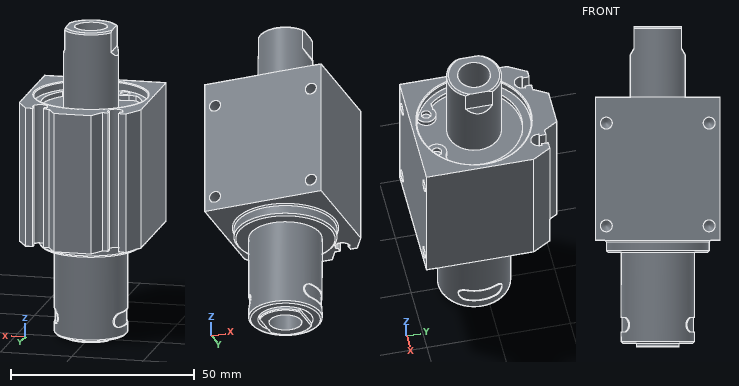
import cadquery as cq
import math

ANGLE_60 = math.tan(math.radians(60))

BLOCK_WIDTH = 34.0
BLOCK_HEIGHT = 39.0
FRONT_Y = -BLOCK_WIDTH / 2
BACK_Y = 22.0
SHELF_Y = 18.05
CORNER_RUN = 3.0
RAISED_BACK_WIDTH = 10.4

SLOT_X = 10.55
SLOT_NECK_WIDTH = 3.0
SLOT_NECK_DEPTH = 1.8
SLOT_WIDTH = 4.0
SLOT_DEPTH = 4.45

MOUNT_SPACING = 28.0
MOUNT_BOTTOM_Z = 3.9
MOUNT_DIAMETER = 3.2
MOUNT_DEPTH = 7.85
DRILL_POINT_ANGLE = 118

RECESS_RADIUS = 15.6
RECESS_DEPTH = 3.7
RECESS_CHAMFER = 0.3
RING_TOP_DEPTH = 2.3
RING_OPENING_RADIUS = 13.8
RING_OPENING_Y = -0.5
RING_END_Y = -9.7
LUG_X = 6.8
LUG_Y = -11.9
LUG_RADIUS = 2.7
LUG_HOLE_DIAMETER = 2.6

COLLAR_RADIUS = 14.0
COLLAR_LENGTH = 3.3
COLLAR_LIP = 0.4
COLLAR_LIP_HEIGHT = 0.4
EDGE_CHAMFER = 0.5
TUBE_RADIUS = 10.0
TUBE_END_Z = -28.1

POCKET_LENGTH = 12.2
POCKET_HEIGHT = 4.0
POCKET_DEPTH = 0.3
POCKET_Z = -23.0

SHAFT_DIAMETER = 15.0
SHAFT_BORE_DIAMETER = 8.9
SHAFT_LENGTH = 87.2
SHAFT_PROTRUSION = 1.0
SHAFT_BOTTOM_Z = TUBE_END_Z - SHAFT_PROTRUSION
SHAFT_TOP_Z = SHAFT_BOTTOM_Z + SHAFT_LENGTH
TOP_CHAMFER_WIDTH = 0.5
TOP_CHAMFER_HEIGHT = 0.4
BOTTOM_CHAMFER = 0.3
TOP_FLATS_WIDTH = 13.0
TOP_FLATS_LENGTH = 5.9
BOTTOM_FLATS_WIDTH = 11.7


def cylinder(radius, bottom_z, top_z):
    return cq.Workplane("XY").workplane(offset=bottom_z).circle(radius).extrude(top_z - bottom_z)


def slab(min_corner, max_corner):
    sizes = [high - low for low, high in zip(min_corner, max_corner)]
    return cq.Workplane("XY").box(*sizes, centered=False).translate(min_corner)


def make_block():
    half_width = BLOCK_WIDTH / 2
    half_back = RAISED_BACK_WIDTH / 2
    half_back_foot = half_back + (BACK_Y - SHELF_Y) / ANGLE_60
    right_side = [
        (half_width, FRONT_Y),
        (half_width, SHELF_Y - CORNER_RUN * ANGLE_60),
        (half_width - CORNER_RUN, SHELF_Y),
        (half_back_foot, SHELF_Y),
        (half_back, BACK_Y),
    ]
    left_side = [(-x, y) for x, y in reversed(right_side)]
    return cq.Workplane("XY").polyline(right_side + left_side).close().extrude(BLOCK_HEIGHT)


def make_sensor_slot(x):
    """Undercut slot with a round bottom, open to the shelf along the full block height."""
    half_neck = SLOT_NECK_WIDTH / 2
    radius = SLOT_WIDTH / 2
    shoulder_y = SHELF_Y - SLOT_NECK_DEPTH
    bottom_y = SHELF_Y - SLOT_DEPTH
    return (
        cq.Workplane("XY")
        .moveTo(x - half_neck, SHELF_Y)
        .lineTo(x - half_neck, shoulder_y)
        .lineTo(x - radius, shoulder_y)
        .lineTo(x - radius, bottom_y + radius)
        .threePointArc((x, bottom_y), (x + radius, bottom_y + radius))
        .lineTo(x + radius, shoulder_y)
        .lineTo(x + half_neck, shoulder_y)
        .lineTo(x + half_neck, SHELF_Y)
        .close()
        .extrude(BLOCK_HEIGHT)
    )


def make_mount_hole(x, z):
    """Drilled hole with a conical end, pointing into the block from the front face."""
    radius = MOUNT_DIAMETER / 2
    point_depth = radius / math.tan(math.radians(DRILL_POINT_ANGLE / 2))
    return (
        cq.Workplane("XY")
        .polyline([(0, 0), (radius, 0), (radius, MOUNT_DEPTH), (0, MOUNT_DEPTH + point_depth)])
        .close()
        .revolve(360, (0, 0), (0, 1))
        .translate((x, FRONT_Y, z))
    )


def make_recess():
    """Round recess whose lower part is narrowed by the split ring and its two lugs."""
    floor_z = BLOCK_HEIGHT - RECESS_DEPTH
    ring_top_z = BLOCK_HEIGHT - RING_TOP_DEPTH
    mouth_radius = RECESS_RADIUS + RECESS_CHAMFER
    mouth = (
        cq.Workplane("XZ")
        .polyline([
            (0, ring_top_z),
            (RECESS_RADIUS, ring_top_z),
            (RECESS_RADIUS, BLOCK_HEIGHT - RECESS_CHAMFER),
            (mouth_radius, BLOCK_HEIGHT),
            (0, BLOCK_HEIGHT),
        ])
        .close()
        .revolve(360, (0, 0), (0, 1))
    )
    behind_lugs = slab((-RECESS_RADIUS, RING_END_Y, floor_z), (RECESS_RADIUS, RECESS_RADIUS, ring_top_z))
    between_lugs = slab((-LUG_X, -RECESS_RADIUS, floor_z), (LUG_X, RING_END_Y, ring_top_z))
    opening = (
        cylinder(RING_OPENING_RADIUS, floor_z, ring_top_z)
        .translate((0, RING_OPENING_Y, 0))
        .intersect(behind_lugs)
    )
    gap = cylinder(RECESS_RADIUS, floor_z, ring_top_z).intersect(between_lugs)
    lower_part = opening.union(gap)
    for side in (-1, 1):
        lug_centre = (side * LUG_X, LUG_Y, 0)
        lug = cylinder(LUG_RADIUS, floor_z, ring_top_z).translate(lug_centre)
        lug_hole = cylinder(LUG_HOLE_DIAMETER / 2, floor_z, ring_top_z).translate(lug_centre)
        lower_part = lower_part.cut(lug).union(lug_hole)
    return mouth.union(lower_part)


def make_collar_and_tube():
    collar_end_z = -COLLAR_LENGTH
    return (
        cq.Workplane("XZ")
        .polyline([
            (0, 0),
            (COLLAR_RADIUS + COLLAR_LIP, 0),
            (COLLAR_RADIUS, -COLLAR_LIP_HEIGHT),
            (COLLAR_RADIUS, collar_end_z + EDGE_CHAMFER),
            (COLLAR_RADIUS - EDGE_CHAMFER, collar_end_z),
            (TUBE_RADIUS, collar_end_z),
            (TUBE_RADIUS, TUBE_END_Z + EDGE_CHAMFER),
            (TUBE_RADIUS - EDGE_CHAMFER, TUBE_END_Z),
            (0, TUBE_END_Z),
        ])
        .close()
        .revolve(360, (0, 0), (0, 1))
    )


def make_tube_pockets():
    """Two opposite round-ended pockets of constant depth in the curved tube wall."""
    half_height = POCKET_HEIGHT / 2
    wall = cylinder(TUBE_RADIUS, POCKET_Z - half_height, POCKET_Z + half_height)
    core = cylinder(TUBE_RADIUS - POCKET_DEPTH, POCKET_Z - half_height, POCKET_Z + half_height)
    outline = (
        cq.Workplane("YZ")
        .center(0, POCKET_Z)
        .slot2D(POCKET_LENGTH, POCKET_HEIGHT)
        .extrude(TUBE_RADIUS, both=True)
    )
    return wall.cut(core).intersect(outline)


def make_housing():
    housing = make_block().union(make_collar_and_tube())
    for side in (-1, 1):
        housing = housing.cut(make_sensor_slot(side * SLOT_X))
        for z in (MOUNT_BOTTOM_Z, MOUNT_BOTTOM_Z + MOUNT_SPACING):
            housing = housing.cut(make_mount_hole(side * MOUNT_SPACING / 2, z))
    shaft_hole = cylinder(SHAFT_DIAMETER / 2, TUBE_END_Z, BLOCK_HEIGHT)
    return housing.cut(make_recess()).cut(make_tube_pockets()).cut(shaft_hole)


def make_top_flat():
    """Cutter for the wrench flat on the +X side, running out of the shaft on a 60 degree slope."""
    flat_x = TOP_FLATS_WIDTH / 2
    flat_end_z = SHAFT_TOP_Z - TOP_FLATS_LENGTH
    radius = SHAFT_DIAMETER / 2
    runout = (radius - flat_x) * ANGLE_60
    return (
        cq.Workplane("XZ")
        .polyline([
            (flat_x, SHAFT_TOP_Z),
            (flat_x, flat_end_z),
            (radius, flat_end_z - runout),
            (radius, SHAFT_TOP_Z),
        ])
        .close()
        .extrude(radius, both=True)
    )


def make_shaft():
    radius = SHAFT_DIAMETER / 2
    bore_radius = SHAFT_BORE_DIAMETER / 2
    shaft = (
        cq.Workplane("XZ")
        .polyline([
            (bore_radius, SHAFT_BOTTOM_Z),
            (radius - BOTTOM_CHAMFER, SHAFT_BOTTOM_Z),
            (radius, SHAFT_BOTTOM_Z + BOTTOM_CHAMFER),
            (radius, SHAFT_TOP_Z - TOP_CHAMFER_HEIGHT),
            (radius - TOP_CHAMFER_WIDTH, SHAFT_TOP_Z),
            (bore_radius, SHAFT_TOP_Z),
        ])
        .close()
        .revolve(360, (0, 0), (0, 1))
    )
    bottom_flat = slab((BOTTOM_FLATS_WIDTH / 2, -radius, SHAFT_BOTTOM_Z), (radius, radius, TUBE_END_Z))
    for flat in (make_top_flat(), bottom_flat):
        shaft = shaft.cut(flat).cut(flat.mirror("YZ"))
    return shaft


housing = make_housing()
shaft = make_shaft()
result = cq.Compound.makeCompound([housing.solids().val(), shaft.solids().val()])